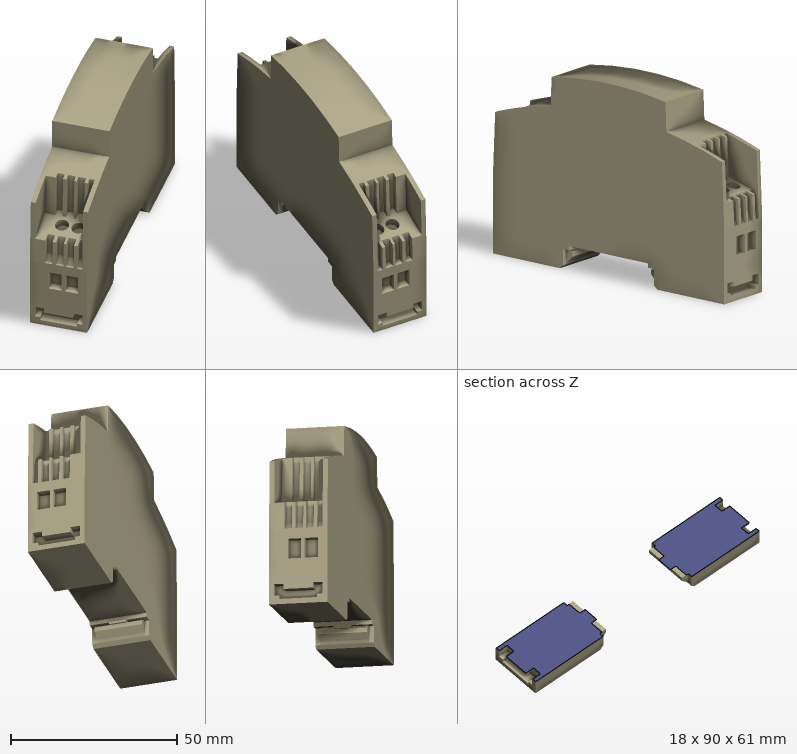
import cadquery as cq
import math

WIDTH = 18.0
HALF_LENGTH = 45.0
HEIGHT = 61.0

DRAFT_START = 23.2
SHOULDER_HALF = 44.1
SHOULDER_END_Z = 44.3
DRAFT = (HALF_LENGTH - SHOULDER_HALF) / (SHOULDER_END_Z - DRAFT_START)

SHOULDER_RISE = 0.45
PANEL_BASE_HALF = 22.5
PANEL_BASE_Z = 49.9
PANEL_TOP_HALF = 22.1
PANEL_EDGE_Z = 59.1

RAIL_HALF = 15.3
RAIL_DEPTH = 7.6
LEDGE_HALF = 17.7
LEDGE_Z = 6.2
MOUTH_HALF = 18.9
MOUTH_CHAMFER_HEIGHT = 1.1

SIDE_WALL = 1.5
HOOK_TOP = 5.3
HOOK_RAMP_TOP = 3.9
HOOK_RAMP_BOTTOM = 2.0
HOOK_RAMP_HALF = 17.2
HOOK_ROOT_HALF = 16.9
TONGUE_TIP_HALF = 14.8
TONGUE_TIP_TOP = 6.1
TONGUE_ROOT_TOP = 6.6
TONGUE_SIDE_GAP = 6.3

POCKET_LENGTH = 10.0
FLOOR_EDGE_Z = 31.3
FLOOR_SLOPE = 14.0
GROOVE_SPANS = [(4.8, 7.0), (8.1, 10.5), (11.3, 13.8), (14.85, WIDTH - SIDE_WALL)]
BACK_GROOVE_FOOT_Y = 32.6
BACK_GROOVE_TOP_Y = 31.95
END_GROOVE_MOUTH_DEPTH = 2.9
END_GROOVE_FOOT_DEPTH = 2.25
END_GROOVE_RAMP_TOP = 25.4
END_GROOVE_SILL = 0.9

TERMINAL_X = [7.9, 13.05]
SCREW_HOLE_DIAMETER = 4.2
SCREW_HOLE_DEPTH = 2.7
SCREW_HOLE_Y = 37.9
WINDOW_WIDTH = 4.05
WINDOW_BOTTOM = 13.95
WINDOW_TOP = 20.0
WINDOW_DEPTH = 2.7

SLOT_TOP = LEDGE_Z
SLOT_STEP_Z = 2.7
SLOT_BOTTOM = 1.6
SLOT_STEP_X = 3.15
SLOT_TAB_X = 4.5
SLOT_TAB_BOTTOM = 4.6
SLOT_DEPTH = 3.15


def leaning_y(base_y, z):
    """Y at height z of a plane parallel to the leaning end face."""
    return base_y - DRAFT * (z - DRAFT_START)


def prism(points, x_from, x_to):
    """Closed (Y, Z) outline extruded along X."""
    return cq.Workplane("YZ", origin=(x_from, 0, 0)).polyline(points).close().extrude(x_to - x_from)


def box(x_span, y_span, z_span):
    spans = (x_span, y_span, z_span)
    sizes = [high - low for low, high in spans]
    corner = tuple(low for low, high in spans)
    return cq.Workplane("XY").box(*sizes, centered=False).translate(corner)


def both_ends(feature):
    return feature.union(feature.mirror("XZ"))


def housing():
    shoulder_mid = (
        (SHOULDER_HALF + PANEL_BASE_HALF) / 2,
        (SHOULDER_END_Z + PANEL_BASE_Z) / 2 + SHOULDER_RISE,
    )
    body = (
        cq.Workplane("YZ")
        .moveTo(-HALF_LENGTH, 0)
        .lineTo(-HALF_LENGTH, DRAFT_START)
        .lineTo(-SHOULDER_HALF, SHOULDER_END_Z)
        .threePointArc((-shoulder_mid[0], shoulder_mid[1]), (-PANEL_BASE_HALF, PANEL_BASE_Z))
        .lineTo(-PANEL_TOP_HALF, PANEL_EDGE_Z)
        .threePointArc((0, HEIGHT), (PANEL_TOP_HALF, PANEL_EDGE_Z))
        .lineTo(PANEL_BASE_HALF, PANEL_BASE_Z)
        .threePointArc(shoulder_mid, (SHOULDER_HALF, SHOULDER_END_Z))
        .lineTo(HALF_LENGTH, DRAFT_START)
        .lineTo(HALF_LENGTH, 0)
        .close()
        .extrude(WIDTH)
    )
    recess_half = [
        (MOUTH_HALF, 0),
        (LEDGE_HALF, MOUTH_CHAMFER_HEIGHT),
        (LEDGE_HALF, LEDGE_Z),
        (RAIL_HALF, LEDGE_Z),
        (RAIL_HALF, RAIL_DEPTH),
    ]
    recess = recess_half + [(-y, z) for y, z in reversed(recess_half)]
    return body.cut(prism(recess, 0, WIDTH))


def rail_hook():
    """Ramped hook below the ledge, with a narrower tongue reaching into the rail recess."""
    hook = [
        (LEDGE_HALF, MOUTH_CHAMFER_HEIGHT),
        (HOOK_RAMP_HALF, HOOK_RAMP_BOTTOM),
        (RAIL_HALF, HOOK_RAMP_TOP),
        (RAIL_HALF, HOOK_TOP),
        (HOOK_ROOT_HALF, HOOK_TOP),
        (HOOK_ROOT_HALF, LEDGE_Z),
        (LEDGE_HALF, LEDGE_Z),
    ]
    tongue = [
        (HOOK_ROOT_HALF, HOOK_TOP),
        (TONGUE_TIP_HALF, HOOK_TOP),
        (TONGUE_TIP_HALF, TONGUE_TIP_TOP),
        (RAIL_HALF, TONGUE_ROOT_TOP),
        (HOOK_ROOT_HALF, TONGUE_ROOT_TOP),
    ]
    hook_solid = prism(hook, SIDE_WALL, WIDTH - SIDE_WALL)
    return hook_solid.union(prism(tongue, TONGUE_SIDE_GAP, WIDTH - TONGUE_SIDE_GAP))


def floor_z(y):
    """Height of the sloping pocket floor, which falls towards the end."""
    edge_y = leaning_y(HALF_LENGTH, FLOOR_EDGE_Z)
    return FLOOR_EDGE_Z + math.tan(math.radians(FLOOR_SLOPE)) * (edge_y - y)


def pocket():
    """Space above the sloping floor, with grooves in its leaning back wall."""

    def space(foot_y, top_y, x_from, x_to):
        outline = [
            (HALF_LENGTH, floor_z(HALF_LENGTH)),
            (foot_y, floor_z(foot_y)),
            (top_y, HEIGHT),
            (HALF_LENGTH, HEIGHT),
        ]
        return prism(outline, x_from, x_to)

    wall_y = HALF_LENGTH - POCKET_LENGTH
    wall_foot_y = leaning_y(wall_y, floor_z(wall_y))
    cutter = space(wall_foot_y, leaning_y(wall_y, HEIGHT), SIDE_WALL, WIDTH - SIDE_WALL)
    for x_from, x_to in GROOVE_SPANS:
        cutter = cutter.union(space(BACK_GROOVE_FOOT_Y, BACK_GROOVE_TOP_Y, x_from, x_to))
    return cutter


def end_grooves(foot_z):
    """Grooves below the pocket floor; a foot above the sill adds a ramp between them."""
    foot_y = HALF_LENGTH - END_GROOVE_FOOT_DEPTH
    mouth_y = HALF_LENGTH - END_GROOVE_MOUTH_DEPTH
    outline = [
        (HALF_LENGTH, DRAFT_START),
        (HALF_LENGTH - END_GROOVE_SILL, DRAFT_START),
        (foot_y, foot_z),
        (mouth_y, floor_z(mouth_y)),
        (HALF_LENGTH, floor_z(mouth_y)),
    ]
    cutter = cq.Workplane("XY")
    for x_from, x_to in GROOVE_SPANS:
        cutter = cutter.union(prism(outline, x_from, x_to))
    return cutter


def screw_holes():
    """Blind holes square to the sloping pocket floor."""
    cutter = cq.Workplane("XY")
    for x in TERMINAL_X:
        hole = (
            cq.Workplane("XY")
            .circle(SCREW_HOLE_DIAMETER / 2)
            .extrude(2 * SCREW_HOLE_DEPTH)
            .translate((0, 0, -SCREW_HOLE_DEPTH))
            .rotate((0, 0, 0), (1, 0, 0), -FLOOR_SLOPE)
            .translate((x, SCREW_HOLE_Y, floor_z(SCREW_HOLE_Y)))
        )
        cutter = cutter.union(hole)
    return cutter


def wire_windows():
    cutter = cq.Workplane("XY")
    for x in TERMINAL_X:
        x_span = (x - WINDOW_WIDTH / 2, x + WINDOW_WIDTH / 2)
        y_span = (HALF_LENGTH - WINDOW_DEPTH, HALF_LENGTH)
        cutter = cutter.union(box(x_span, y_span, (WINDOW_BOTTOM, WINDOW_TOP)))
    return cutter


def latch_slot():
    y_span = (HALF_LENGTH - SLOT_DEPTH, HALF_LENGTH)
    upper = box((SIDE_WALL, WIDTH - SIDE_WALL), y_span, (SLOT_STEP_Z, SLOT_TOP))
    lower = box((SLOT_STEP_X, WIDTH - SLOT_STEP_X), y_span, (SLOT_BOTTOM, SLOT_STEP_Z))
    tab = box((SLOT_TAB_X, WIDTH - SLOT_TAB_X), y_span, (SLOT_TAB_BOTTOM, SLOT_TOP))
    return upper.union(lower).cut(tab)


result = housing().union(both_ends(rail_hook()))
for cutter in (pocket(), screw_holes(), wire_windows(), latch_slot()):
    result = result.cut(both_ends(cutter))

result = result.cut(end_grooves(END_GROOVE_RAMP_TOP).mirror("XZ"))
result = result.cut(end_grooves(DRAFT_START))